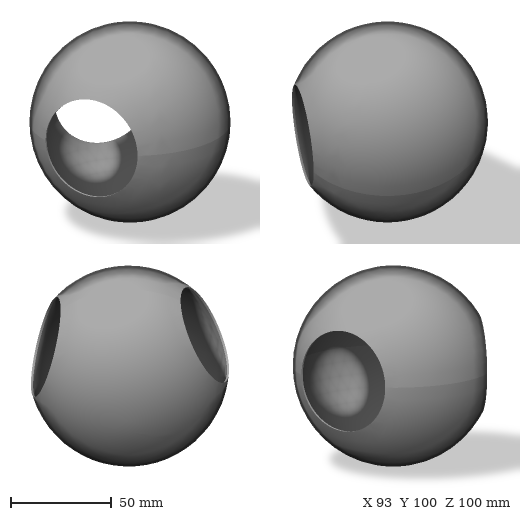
import cadquery as cq
import math

outer_radius = 50.0
wall_thickness = 1.0
opening_radius = 25.5
opening_directions = (180.0, -45.0)
bore_overrun = 10.0

inner_radius = outer_radius - wall_thickness


def lower_half_shell():
    """Thin hemispherical shell below the equator plane Z = 0."""
    diagonal = math.sqrt(0.5)
    outer_middle = outer_radius * diagonal
    inner_middle = inner_radius * diagonal
    profile = (
        cq.Workplane("XZ")
        .moveTo(inner_radius, 0)
        .lineTo(outer_radius, 0)
        .threePointArc((outer_middle, -outer_middle), (0, -outer_radius))
        .lineTo(0, -inner_radius)
        .threePointArc((inner_middle, -inner_middle), (inner_radius, 0))
        .close()
    )
    return profile.revolve(360, (0, 0, 0), (0, 1, 0))


def opening_cutter(angle):
    """Round bore from the centre outwards, pointing sideways at the given angle."""
    bore = cq.Workplane("YZ").circle(opening_radius).extrude(outer_radius + bore_overrun)
    return bore.rotate((0, 0, 0), (0, 0, 1), angle)


lower_half = lower_half_shell()
for direction in opening_directions:
    lower_half = lower_half.cut(opening_cutter(direction))

upper_half = lower_half.mirror("XY")
shell = lower_half.union(upper_half, clean=False)
result = cq.Workplane(shell.solids().val())